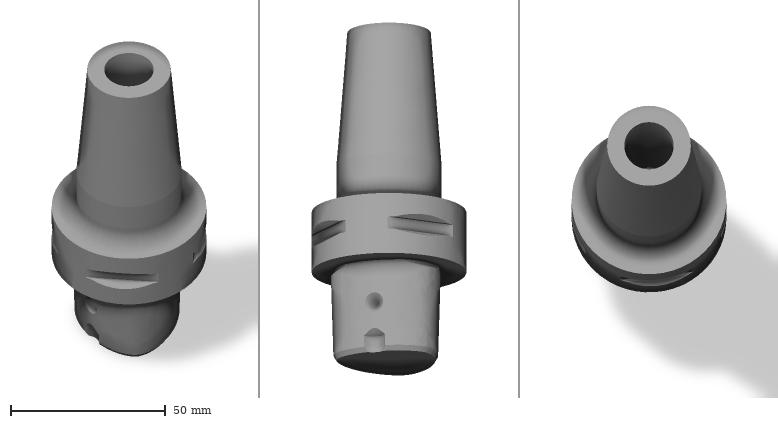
import cadquery as cq
import math

total_height = 110.0
flange_bottom = 30.0
flange_height = 20.0
flange_top = flange_bottom + flange_height
cone_start = 65.5
shank_taper_top = 27.1
end_chamfer_height = 1.6

flange_radius = 50.0 / 2
nose_radius = 17.0
nose_tip_radius = 13.5
neck_fillet = 5.0
bore_radius = 16.0 / 2
bore_depth = 50.0

shank_top_radius = 17.7
shank_bottom_radius = 16.9
end_chamfer_width = 1.0
lobe_height = 1.3
lobe_count = 3
points_per_lobe = 12
lobe_angle = 90

relief_radius = 17.7
relief_height = 0.8
relief_runout = 1.2

slot_count = 4
slot_flat_distance = 22.0
slot_shoulder_depth = 1.0
slot_floor_height = 4.1
slot_flare = 1.4
slot_center_height = 40.2

dimple_height = 16.1
dimple_radius = 3.2
dimple_depth = 3.2
notch_radius = 4.2
notch_height = 5.3
notch_depth = 2.1
notch_axis_y = -(shank_bottom_radius - lobe_height - notch_depth + notch_radius)


def lobed_point(angle, mean_radius):
    """Point on a constant-width curve whose tangents lie at mean_radius plus a lobe ripple."""
    phase = lobe_count * (angle - math.radians(lobe_angle))
    support = mean_radius + lobe_height * math.cos(phase)
    slope = -lobe_count * lobe_height * math.sin(phase)
    x = support * math.cos(angle) - slope * math.sin(angle)
    y = support * math.sin(angle) + slope * math.cos(angle)
    return x, y


def lobed_wire(mean_radius, height):
    """Closed outline made of one smooth curve per lobe."""
    span = 2 * math.pi / lobe_count
    edges = []
    for lobe in range(lobe_count):
        angles = [span * (lobe + step / points_per_lobe) for step in range(points_per_lobe + 1)]
        points = [cq.Vector(*lobed_point(angle, mean_radius), height) for angle in angles]
        tangents = [cq.Vector(-math.sin(angle), math.cos(angle)) for angle in (angles[0], angles[-1])]
        edges.append(cq.Edge.makeSpline(points, tangents))
    return cq.Wire.assembleEdges(edges)


def make_shank():
    sections = [
        lobed_wire(shank_bottom_radius - end_chamfer_width, 0),
        lobed_wire(shank_bottom_radius, end_chamfer_height),
        lobed_wire(shank_top_radius, shank_taper_top),
        lobed_wire(shank_top_radius, flange_bottom),
    ]
    return cq.Workplane(obj=cq.Solid.makeLoft(sections, True))


def make_lobe_relief():
    outer_radius = shank_top_radius + 2 * lobe_height
    relief_bottom = flange_bottom - relief_height
    runout_bottom = relief_bottom - relief_runout * (outer_radius - relief_radius) / lobe_height
    return (
        cq.Workplane("XZ")
        .moveTo(relief_radius, flange_bottom)
        .lineTo(relief_radius, relief_bottom)
        .lineTo(outer_radius, runout_bottom)
        .lineTo(outer_radius, flange_bottom)
        .close()
        .revolve(360, (0, 0), (0, 1))
    )


def make_nose_and_flange():
    arc_middle = neck_fillet * (1 - math.sqrt(0.5))
    return (
        cq.Workplane("XZ")
        .moveTo(0, flange_bottom)
        .lineTo(flange_radius, flange_bottom)
        .lineTo(flange_radius, flange_top)
        .lineTo(nose_radius + neck_fillet, flange_top)
        .threePointArc((nose_radius + arc_middle, flange_top + arc_middle),
                       (nose_radius, flange_top + neck_fillet))
        .lineTo(nose_radius, cone_start)
        .lineTo(nose_tip_radius, total_height)
        .lineTo(0, total_height)
        .close()
        .revolve(360, (0, 0), (0, 1))
    )


def make_gripper_slot(angle):
    shoulder_distance = slot_flat_distance + slot_shoulder_depth
    inner_half = slot_floor_height / 2
    outer_half = inner_half + slot_flare
    slot = (
        cq.Workplane("XZ")
        .moveTo(slot_flat_distance, slot_center_height - inner_half)
        .lineTo(shoulder_distance, slot_center_height - inner_half)
        .lineTo(flange_radius, slot_center_height - outer_half)
        .lineTo(flange_radius, slot_center_height + outer_half)
        .lineTo(shoulder_distance, slot_center_height + inner_half)
        .lineTo(slot_flat_distance, slot_center_height + inner_half)
        .close()
        .extrude(flange_radius, both=True)
    )
    return slot.rotate((0, 0, 0), (0, 0, 1), angle)


def make_dimple():
    face_slope = (shank_top_radius - shank_bottom_radius) / (shank_taper_top - end_chamfer_height)
    face_radius = shank_bottom_radius + face_slope * (dimple_height - end_chamfer_height)
    face_y = -(face_radius - lobe_height)
    cone = cq.Solid.makeCone(2 * dimple_radius, 0, 2 * dimple_depth,
                             cq.Vector(0, face_y - dimple_depth, dimple_height), cq.Vector(0, 1, 0))
    return cq.Workplane(obj=cone)


def make_notch():
    hole = cq.Solid.makeCylinder(notch_radius, notch_height, cq.Vector(0, notch_axis_y, 0))
    tip = cq.Solid.makeCone(notch_radius, 0, notch_radius, cq.Vector(0, notch_axis_y, notch_height))
    return cq.Workplane(obj=hole).union(cq.Workplane(obj=tip))


shank = make_shank().cut(make_lobe_relief()).cut(make_dimple()).cut(make_notch())
bore = cq.Workplane("XY", origin=(0, 0, total_height)).circle(bore_radius).extrude(-bore_depth)

result = make_nose_and_flange().union(shank).cut(bore)
for index in range(slot_count):
    slot_angle = 360 / slot_count * (index + 0.5)
    result = result.cut(make_gripper_slot(slot_angle))